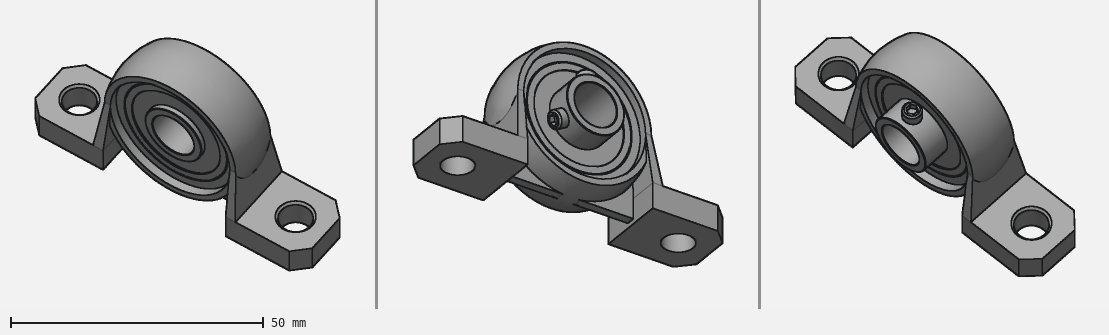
import cadquery as cq

total_length = 67.0
foot_width = 16.0
foot_height = 6.0
foot_inner_x = 14.8
foot_corner_chamfer = 3.3
bolt_offset = 26.1
bolt_diameter = 7.0
bolt_rim_diameter = 8.05
bolt_rim_angle = 90

axis_height = 18.0
sphere_radius = 16.95
housing_width = 12.0
housing_bore_diameter = 28.9
web_bottom = 1.2
web_top = 12.05
web_thickness = 2.0

tower_top_z = 18.4
tower_base_outer_x = 17.2
tower_top_inner_x = 14.4
tower_top_outer_x = 15.8

bearing_width = 8.05
groove_diameter = 25.0
groove_width = 0.2
shield_diameter = 21.4
shield_depth = 0.35
inner_ring_diameter = 13.6
inner_ring_front_y = -4.95
total_depth = 18.0
collar_back_y = total_depth - foot_width / 2
shaft_diameter = 10.0
edge_chamfer = 0.15

screw_diameter = 4.0
screw_reach = 9.05
screw_y = 6.6
screw_chamfer = 0.4
screw_angles = (0, 120)
socket_diameter = 2.5
socket_depth = 1.35
socket_sides = 6
socket_turn = 90


def cylinder_y(diameter, start_y, end_y):
    """Cylinder on the bearing axis between two Y positions."""
    plane = cq.Plane(origin=(0, start_y, axis_height), xDir=(1, 0, 0), normal=(0, 1, 0))
    return cq.Workplane(plane).circle(diameter / 2).extrude(end_y - start_y)


def make_foot():
    """Right-hand foot with chamfered outer corners and a bolt hole."""
    length = total_length / 2 - foot_inner_x
    foot = (
        cq.Workplane("XY")
        .box(length, foot_width, foot_height, centered=(False, True, False))
        .translate((foot_inner_x, 0, 0))
        .edges("|Z and >X")
        .chamfer(foot_corner_chamfer)
    )
    return (
        foot.faces(">Z")
        .workplane(origin=(bolt_offset, 0, foot_height))
        .cskHole(bolt_diameter, bolt_rim_diameter, bolt_rim_angle)
    )


def make_tower():
    """Right-hand tower, tapering upward from the foot."""
    base_center = (foot_inner_x + tower_base_outer_x) / 2
    top_center = (tower_top_inner_x + tower_top_outer_x) / 2
    return (
        cq.Workplane("XY", origin=(base_center, 0, foot_height))
        .rect(tower_base_outer_x - foot_inner_x, foot_width)
        .workplane(offset=tower_top_z - foot_height)
        .center(top_center - base_center, 0)
        .rect(tower_top_outer_x - tower_top_inner_x, housing_width)
        .loft(ruled=True)
    )


def make_housing():
    """Sphere slice, web, feet and towers, bored through for the bearing."""
    half_width = housing_width / 2
    slab = cylinder_y(3 * sphere_radius, -half_width, half_width)
    body = cq.Workplane("XY").sphere(sphere_radius).translate((0, 0, axis_height)).intersect(slab)
    web = (
        cq.Workplane("XY", origin=(0, 0, web_bottom))
        .box(2 * foot_inner_x, web_thickness, web_top - web_bottom, centered=(True, True, False))
    )
    side = make_foot().union(make_tower())
    body = body.union(web).union(side).union(side.mirror("YZ"))
    return body.cut(cylinder_y(housing_bore_diameter, -foot_width, foot_width))


def make_screw(angle):
    """Set screw with a hexagon socket, turned about the bearing axis from +Z toward +X."""
    screw = (
        cq.Workplane("XY")
        .circle(screw_diameter / 2)
        .extrude(screw_reach)
        .faces(">Z")
        .chamfer(screw_chamfer)
    )
    socket = (
        cq.Workplane("XY", origin=(0, 0, screw_reach - socket_depth))
        .transformed(rotate=(0, 0, socket_turn))
        .polygon(socket_sides, socket_diameter)
        .extrude(socket_depth)
    )
    return screw.cut(socket).rotate((0, 0, 0), (0, 1, 0), angle).translate((0, screw_y, axis_height))


def make_bearing():
    """Bearing insert with sunk shields, inner ring, locking collar and set screws."""
    half_width = bearing_width / 2
    bearing = cylinder_y(housing_bore_diameter, -half_width, half_width)
    for side in (-1, 1):
        face_y = side * half_width
        floor_y = face_y - side * shield_depth
        groove = cylinder_y(groove_diameter, floor_y, face_y).cut(
            cylinder_y(groove_diameter - 2 * groove_width, floor_y, face_y)
        )
        bearing = bearing.cut(groove).cut(cylinder_y(shield_diameter, floor_y, face_y))
    inner_ring = cylinder_y(inner_ring_diameter, inner_ring_front_y, collar_back_y)
    inner_ring = inner_ring.faces("<Y or >Y").chamfer(edge_chamfer)
    bearing = bearing.union(inner_ring)
    for angle in screw_angles:
        bearing = bearing.union(make_screw(angle))
    bearing = bearing.cut(cylinder_y(shaft_diameter, inner_ring_front_y, collar_back_y))
    bore_edges = cq.selectors.RadiusNthSelector(0)
    return bearing.faces("<Y or >Y").edges(bore_edges).chamfer(edge_chamfer)


result = make_housing().union(make_bearing())